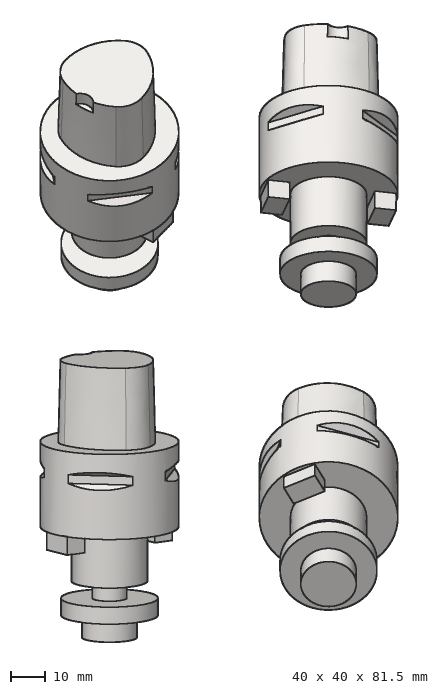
import cadquery as cq
import math

FLANGE_DIA = 40.0
FLANGE_LENGTH = 25.0

SHANK_WIDTH = 28.05
SHANK_LENGTH = 24.0
LOBE_OFFSET = 6.15
TAPER_PER_SIDE = 1 / 40

NOTCH_RADIUS = 3.8
NOTCH_FLOOR_Y = -10.9
NOTCH_DEPTH = 4.2

GROOVE_COUNT = 4
GROOVE_START_ANGLE = 45.0
GROOVE_CENTRE_Z = -8.0
GROOVE_BASE_DISTANCE = 17.65
GROOVE_BASE_WIDTH = 2.5
GROOVE_WALL_ANGLE = 30.0
GROOVE_CLEARANCE = 1.0

KEY_INNER_X = 12.6
KEY_OUTER_X = 18.9
KEY_WIDTH = 10.0
KEY_HEIGHT = 5.5

SPIGOT = (22.0, 16.0)
NECK = (10.0, 5.0)
WASHER = (28.0, 5.0)
SCREW_HEAD = (16.0, 6.5)


def polar(radius, degrees):
    angle = math.radians(degrees)
    return cq.Vector(radius * math.cos(angle), radius * math.sin(angle))


def trilobe_wire(width, z):
    """Constant-width outline: three lobe arcs joined tangentially by three flank arcs."""
    centre_spacing = LOBE_OFFSET * math.sqrt(3)
    lobe_radius = (width - centre_spacing) / 2
    flank_radius = width - lobe_radius
    level = cq.Vector(0, 0, z)
    edges = []
    for direction in (90, 210, 330):
        lobe_centre = polar(LOBE_OFFSET, direction) + level
        lobe = [lobe_centre + polar(lobe_radius, direction + turn) for turn in (-30, 0, 30)]
        flank_centre = polar(LOBE_OFFSET, direction + 240) + level
        flank = [flank_centre + polar(flank_radius, direction + turn) for turn in (30, 60, 90)]
        edges.append(cq.Edge.makeThreePointArc(*lobe))
        edges.append(cq.Edge.makeThreePointArc(*flank))
    return cq.Wire.assembleEdges(edges)


def make_shank():
    top_width = SHANK_WIDTH - 2 * TAPER_PER_SIDE * SHANK_LENGTH
    base = trilobe_wire(SHANK_WIDTH, 0)
    top = trilobe_wire(top_width, SHANK_LENGTH)
    return cq.Workplane(cq.Solid.makeLoft([base, top], True))


def make_notch():
    return (
        cq.Workplane("XY", origin=(0, NOTCH_FLOOR_Y - NOTCH_RADIUS, SHANK_LENGTH))
        .circle(NOTCH_RADIUS)
        .extrude(-NOTCH_DEPTH)
    )


def make_round_section(top_z, diameter, length):
    return cq.Workplane("XY", origin=(0, 0, top_z)).circle(diameter / 2).extrude(-length)


def make_gripper_groove(angle):
    """Straight trapezoidal groove, widening outwards, at the given angle about Z."""
    outer_distance = FLANGE_DIA / 2 + GROOVE_CLEARANCE
    flare = (outer_distance - GROOVE_BASE_DISTANCE) * math.tan(math.radians(GROOVE_WALL_ANGLE))
    half_base = GROOVE_BASE_WIDTH / 2
    half_mouth = half_base + flare
    return (
        cq.Workplane("XZ", origin=(0, 0, GROOVE_CENTRE_Z))
        .moveTo(GROOVE_BASE_DISTANCE, -half_base)
        .lineTo(outer_distance, -half_mouth)
        .lineTo(outer_distance, half_mouth)
        .lineTo(GROOVE_BASE_DISTANCE, half_base)
        .close()
        .extrude(FLANGE_DIA / 2, both=True)
        .rotate((0, 0, 0), (0, 0, 1), angle)
    )


def make_drive_key(side):
    return (
        cq.Workplane("XY", origin=(side * (KEY_INNER_X + KEY_OUTER_X) / 2, 0, -FLANGE_LENGTH))
        .rect(KEY_OUTER_X - KEY_INNER_X, KEY_WIDTH)
        .extrude(-KEY_HEIGHT)
    )


flange = make_round_section(0, FLANGE_DIA, FLANGE_LENGTH)
for index in range(GROOVE_COUNT):
    flange = flange.cut(make_gripper_groove(GROOVE_START_ANGLE + index * 360 / GROOVE_COUNT))

result = flange.union(make_shank().cut(make_notch()))

section_top = -FLANGE_LENGTH
for section_diameter, section_length in (SPIGOT, NECK, WASHER, SCREW_HEAD):
    result = result.union(make_round_section(section_top, section_diameter, section_length))
    section_top -= section_length

for key_side in (-1, 1):
    result = result.union(make_drive_key(key_side))